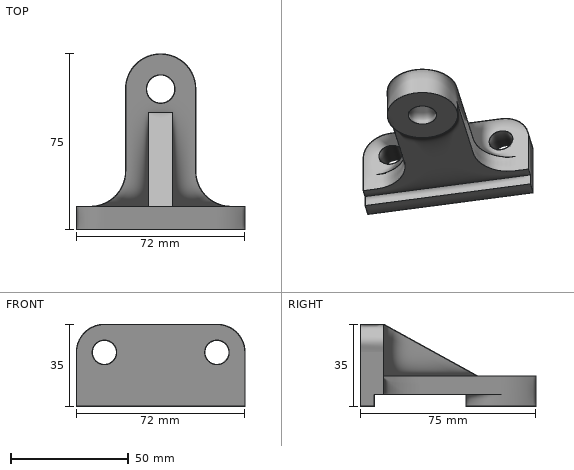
import cadquery as cq

plate_width = 72.0
plate_height = 35.0
plate_thickness = 10.0
corner_radius = 12.0
plate_hole_diameter = 10.3

foot_thickness = 6.0
foot_height = 5.0

total_depth = 75.0
eye_radius = 15.0
eye_hole_diameter = 12.0
arm_thickness = 7.95
root_radius = 15.0
arm_bottom = foot_height
arm_top = arm_bottom + arm_thickness
eye_y = total_depth - eye_radius

rib_width = 10.3
rib_end_y = 50.0


def make_plate():
    plate = (
        cq.Workplane("XY")
        .box(plate_width, plate_thickness, plate_height, centered=(True, False, False))
        .edges("|Y and >Z")
        .fillet(corner_radius)
    )
    rebate = (
        cq.Workplane("XY")
        .box(plate_width, plate_thickness - foot_thickness, foot_height, centered=(True, False, False))
        .translate((0, foot_thickness, 0))
    )
    hole_x = plate_width / 2 - corner_radius
    hole_z = plate_height - corner_radius
    holes = (
        cq.Workplane("XZ")
        .pushPoints([(-hole_x, hole_z), (hole_x, hole_z)])
        .circle(plate_hole_diameter / 2)
        .extrude(-plate_thickness)
    )
    return plate.cut(rebate).cut(holes)


def make_arm():
    root_x = eye_radius + root_radius
    root_y = plate_thickness + root_radius
    arc_offset = root_radius * 0.5**0.5
    arc_x = root_x - arc_offset
    arc_y = root_y - arc_offset
    return (
        cq.Workplane("XY")
        .workplane(offset=arm_bottom)
        .moveTo(-root_x, plate_thickness)
        .lineTo(root_x, plate_thickness)
        .threePointArc((arc_x, arc_y), (eye_radius, root_y))
        .lineTo(eye_radius, eye_y)
        .threePointArc((0, total_depth), (-eye_radius, eye_y))
        .lineTo(-eye_radius, root_y)
        .threePointArc((-arc_x, arc_y), (-root_x, plate_thickness))
        .close()
        .extrude(arm_thickness)
    )


def eye_cylinder(radius):
    return cq.Workplane("XY").center(0, eye_y).circle(radius).extrude(arm_top)


def make_rib():
    return (
        cq.Workplane("YZ")
        .polyline([
            (plate_thickness, arm_top),
            (rib_end_y, arm_top),
            (plate_thickness, plate_height),
        ])
        .close()
        .extrude(rib_width / 2, both=True)
    )


result = (
    make_plate()
    .union(make_arm())
    .union(eye_cylinder(eye_radius))
    .union(make_rib())
    .cut(eye_cylinder(eye_hole_diameter / 2))
)